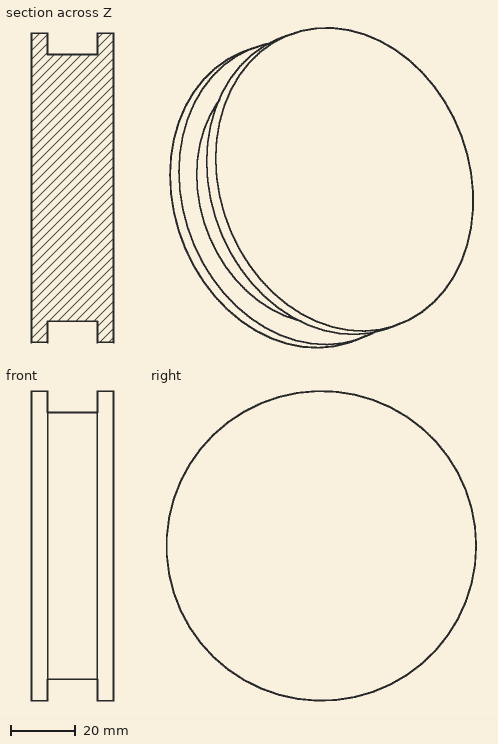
import cadquery as cq

overall_width = 25.41
flange_diameter = 95.68
drum_diameter = 82.49
flange_thickness = 5.0

drum_width = overall_width - 2 * flange_thickness


def disc(start_x, width, diameter):
    """Solid disc around the X axis, running from start_x toward +X."""
    return cq.Workplane("YZ", origin=(start_x, 0, 0)).circle(diameter / 2).extrude(width)


left_face_x = -overall_width / 2
drum_start_x = left_face_x + flange_thickness
right_flange_start_x = drum_start_x + drum_width

result = disc(drum_start_x, drum_width, drum_diameter)
for flange_start_x in (left_face_x, right_flange_start_x):
    result = result.union(disc(flange_start_x, flange_thickness, flange_diameter))